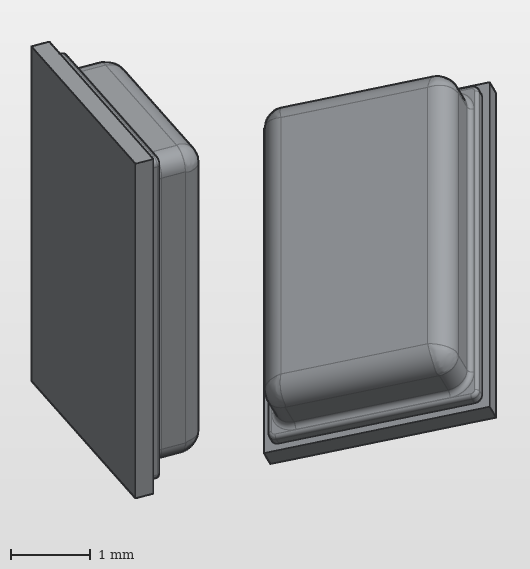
import cadquery as cq

plate_width = 3.0
plate_height = 5.0
plate_thickness = 0.25
total_depth = 1.1

rim_inset = 0.1
rim_thickness = 0.15
rim_corner_radius = 0.1
rim_edge_radius = 0.05

dome_inset = 0.225
dome_corner_radius = 0.25
dome_edge_radius = 0.3
dome_root_radius = 0.07

plate_front = -total_depth / 2
plate_back = plate_front + plate_thickness
rim_back = plate_back + rim_thickness
dome_back = total_depth / 2


def block(inset, y_front, y_back):
    """Centred block between two Y positions, inset from the plate outline."""
    return (
        cq.Workplane("XZ", origin=(0, y_front, 0))
        .rect(plate_width - 2 * inset, plate_height - 2 * inset)
        .extrude(y_front - y_back)
    )


def make_rim():
    rim = block(rim_inset, plate_back, rim_back).edges("|Y").fillet(rim_corner_radius)
    return rim.faces(">Y").edges().fillet(rim_edge_radius)


def make_dome():
    """The back edges are wider than the corners, so they are rounded first."""
    dome = block(dome_inset, plate_back, dome_back)
    dome = dome.faces(">Y").edges().fillet(dome_edge_radius)
    return dome.edges("|Y").fillet(dome_corner_radius)


def make_lid():
    """Rim and dome in one piece, with a concave fillet where they meet."""
    half_width = plate_width / 2 - dome_inset
    root_point = (half_width, rim_back, 0)
    lid = make_rim().union(make_dome())
    return lid.edges(cq.selectors.NearestToPointSelector(root_point)).fillet(dome_root_radius)


plate = block(0, plate_front, plate_back)
lid = make_lid()

result = cq.Compound.makeCompound([plate.val(), lid.val()])